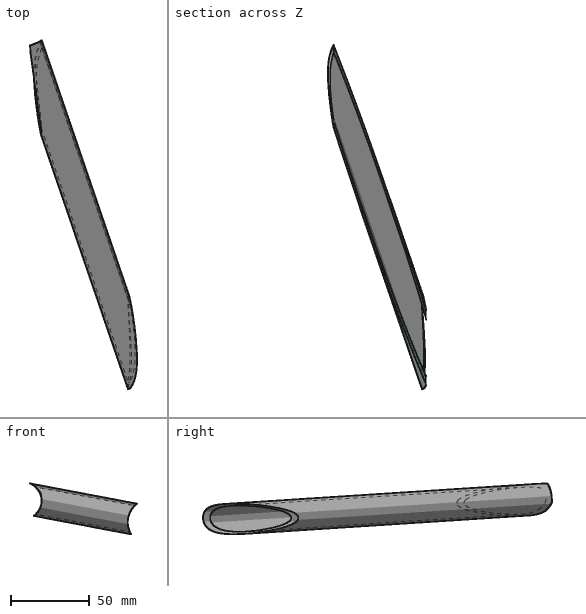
import cadquery as cq

tube_radius = 10.0
wall = 1.5

axis_x = 1.0
axis_z = -0.55
slope_x = 0.342
slope_z = -0.0645

square_end_y = 107.7
overrun_y = -130.0

small_cope_radius = 12.0
small_cope_saddle_x = -26.6
small_cope_z = 5.15
large_cope_radius = 15.0
large_cope_saddle_x = 28.4
large_cope_z = -8.6
cope_length = 300.0


def centreline_point(y):
    """Point of the tube centreline at the given Y."""
    return cq.Vector(axis_x - slope_x * y, y, axis_z - slope_z * y)


def rod(start, direction, radius, length):
    """Solid cylinder from a start point along a direction."""
    return cq.Workplane(cq.Solid.makeCylinder(radius, length, start, direction))


def tube():
    """Straight round tube, cut square at its +Y end."""
    start = centreline_point(square_end_y)
    run = centreline_point(overrun_y) - start
    outer = rod(start, run, tube_radius, run.Length)
    bore = rod(start, run, tube_radius - wall, run.Length)
    return outer.cut(bore)


def cope(centre_x, centre_z, radius, start_y):
    """Cutting cylinder parallel to Y, from start_y toward +Y."""
    start = cq.Vector(centre_x, start_y, centre_z)
    return rod(start, cq.Vector(0, 1, 0), radius, cope_length)


small_cope = cope(small_cope_saddle_x - small_cope_radius, small_cope_z, small_cope_radius, 0)
large_cope = cope(large_cope_saddle_x + large_cope_radius, large_cope_z, large_cope_radius, -cope_length)
result = tube().cut(small_cope).cut(large_cope)